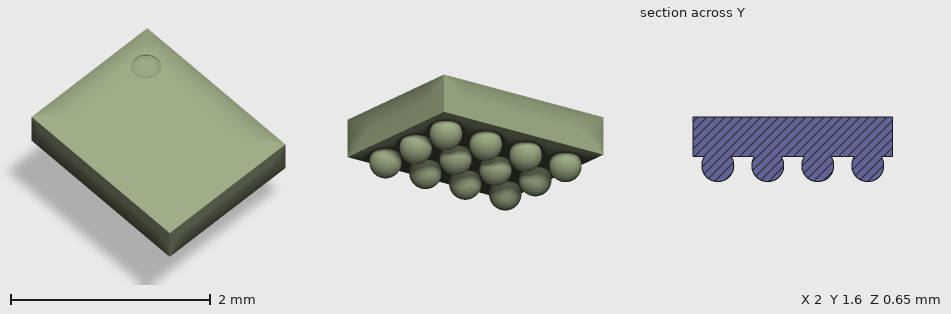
import cadquery as cq

body_length = 2.0
body_width = 1.6
body_height = 0.4
overall_height = 0.65

ball_diameter = 0.325
ball_pitch = 0.5
ball_columns = 4
ball_rows = 3

mark_diameter = 0.3
mark_edge_distance = 0.34
mark_depth = 0.01

ball_radius = ball_diameter / 2
standoff = overall_height - body_height


def make_body():
    return (
        cq.Workplane("XY")
        .workplane(offset=standoff)
        .rect(body_length, body_width)
        .extrude(body_height)
    )


def make_balls():
    return (
        cq.Workplane("XY")
        .workplane(offset=ball_radius)
        .rarray(ball_pitch, ball_pitch, ball_columns, ball_rows)
        .sphere(ball_radius)
    )


def make_mark_cutter():
    mark_x = -body_length / 2 + mark_edge_distance
    mark_y = body_width / 2 - mark_edge_distance
    return (
        cq.Workplane("XY")
        .workplane(offset=overall_height)
        .center(mark_x, mark_y)
        .circle(mark_diameter / 2)
        .extrude(-mark_depth)
    )


result = make_body().union(make_balls()).cut(make_mark_cutter())